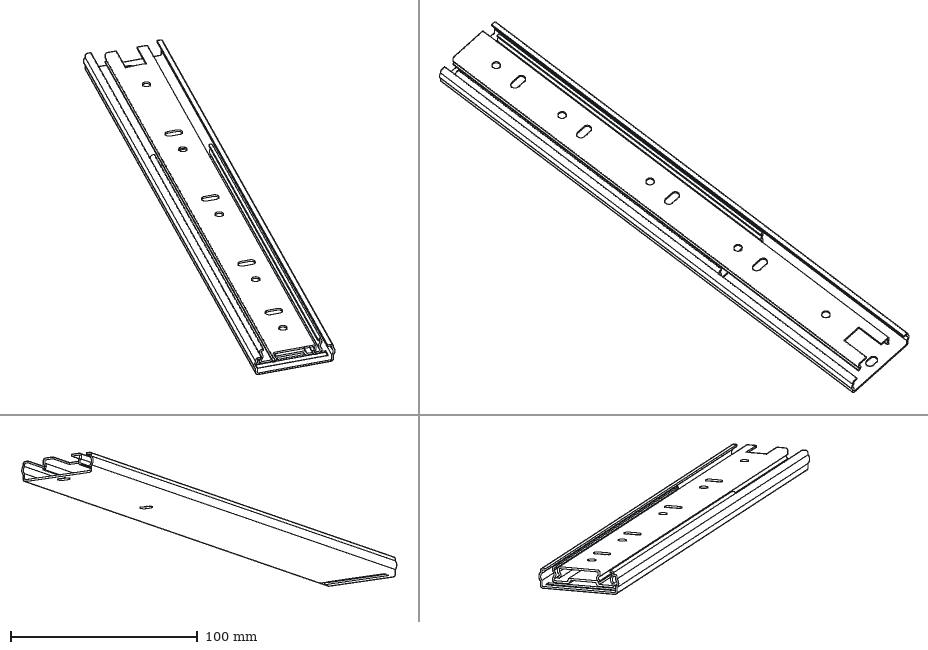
import cadquery as cq

LENGTH = 300.0
SHEET = 1.05
BEND = 1.5

OUTER_WIDTH = 43.8
OUTER_TOP = 11.0
OUTER_MOUTH = 37.2
OUTER_RACE_DEPTH = 1.0
OUTER_SLOT_X = (6.3, 87.5)
OUTER_SLOT_LENGTH = 7.2
WINDOW_START = 291.0
WINDOW_END = 295.5

MIDDLE_START = 101.5
MIDDLE_END = 293.0
MIDDLE_WIDTH = 35.0
MIDDLE_BOTTOM = 1.95
MIDDLE_MOUTH = 30.5
MIDDLE_RACE_DEPTH = 1.0
PLATEAU_WIDTH = 16.2
PLATEAU_FOOT_WIDTH = 18.5
PLATEAU_BOTTOM = 4.0
STOP_WIDTH = 15.5

INNER_START = 4.8
INNER_WIDTH = 24.3
INNER_RISE = 1.6
INNER_TOP = OUTER_TOP + INNER_RISE
INNER_BOTTOM = 6.3
INNER_RACE_Z = 8.0
INNER_RACE_CHORD = 3.5
INNER_RACE_DEPTH = 1.0
NOTCH_END = 21.0
NOTCH_WIDTH = 11.7
FIRST_HOLE_X = 39.5
LAST_PITCH = 48.0
SLOT_TO_HOLE = LAST_PITCH / 3
HOLE_PITCH = 4 * SLOT_TO_HOLE
HOLE_DIAMETER = 4.5
INNER_SLOT_LENGTH = 9.5

RACE_Z = INNER_TOP / 2
RACE_CHORD = 4.8


def box(x_range, y_range, z_range):
    """Block between the given limits along X, Y and Z."""
    size = [high - low for low, high in (x_range, y_range, z_range)]
    corner = (x_range[0], y_range[0], z_range[0])
    return cq.Workplane("XY").box(*size, centered=False).translate(corner)


def wide_box(x_range, width, z_range):
    """Block centred on the XZ plane."""
    return box(x_range, (-width / 2, width / 2), z_range)


def rod(x_range, y, z, radius):
    """Round bar along X."""
    start, end = x_range
    return cq.Workplane("YZ", origin=(start, y, z)).circle(radius).extrude(end - start)


def channel(x_range, width, bottom, top, mouth):
    """C-shaped rail: flat base, two walls and two lips turned in at the top."""
    inner_width = width - 2 * SHEET
    body = wide_box(x_range, width, (bottom, top)).edges("|X").fillet(BEND)
    cavity = wide_box(x_range, inner_width, (bottom + SHEET, top - SHEET)).edges("|X").fillet(BEND - SHEET)
    opening = wide_box(x_range, mouth, (top - 2 * SHEET, top))
    return body.cut(cavity).cut(opening)


def roll_race(rail, x_range, wall_face, z, chord, depth, outward):
    """Press a round ball race into both walls; wall_face is the outside of the flat wall.

    The chord is the height of the race where it leaves the wall."""
    half_chord = chord / 2
    crest_radius = (half_chord**2 + depth**2) / (2 * depth)
    if outward:
        convex_face = wall_face
        groove_face = wall_face - SHEET
        direction = 1
    else:
        convex_face = wall_face - SHEET
        groove_face = wall_face
        direction = -1
    axis = convex_face + direction * (depth - crest_radius)
    crest = convex_face + direction * depth
    side = sorted((groove_face, crest))
    for sign in (1, -1):
        y_range = sorted(sign * y for y in side)
        band = box(x_range, y_range, (z - half_chord, z + half_chord))
        rail = rail.union(rod(x_range, sign * axis, z, crest_radius).intersect(band))
        rail = rail.cut(rod(x_range, sign * axis, z, crest_radius - SHEET))
    return rail


def cross_slots(x_places, length, z_range):
    """Cutters for slots through a plate, lengthwise across the rail."""
    bottom, top = z_range
    sketch = cq.Workplane("XY", origin=(0, 0, bottom)).pushPoints([(x, 0) for x in x_places])
    return sketch.slot2D(length, HOLE_DIAMETER, 90).extrude(top - bottom)


def make_outer_rail():
    span = (0, LENGTH)
    rail = channel(span, OUTER_WIDTH, 0, OUTER_TOP, OUTER_MOUTH)
    rail = roll_race(rail, span, OUTER_WIDTH / 2, RACE_Z, RACE_CHORD, OUTER_RACE_DEPTH, outward=True)
    rail = rail.cut(cross_slots(OUTER_SLOT_X, OUTER_SLOT_LENGTH, (0, SHEET)))
    window = wide_box((WINDOW_START, WINDOW_END), OUTER_WIDTH - 2 * BEND, (0, SHEET))
    return rail.cut(window)


def make_middle_rail():
    span = (MIDDLE_START, MIDDLE_END)
    rail = channel(span, MIDDLE_WIDTH, MIDDLE_BOTTOM, OUTER_TOP, MIDDLE_MOUTH)
    rail = roll_race(rail, span, MIDDLE_WIDTH / 2, RACE_Z, RACE_CHORD, MIDDLE_RACE_DEPTH, outward=False)

    base_top = MIDDLE_BOTTOM + SHEET
    plateau_top = PLATEAU_BOTTOM + SHEET
    foot = PLATEAU_FOOT_WIDTH / 2
    crown = PLATEAU_WIDTH / 2
    rail = rail.cut(wide_box(span, PLATEAU_FOOT_WIDTH, (MIDDLE_BOTTOM, base_top)))
    hat = [
        (foot - SHEET, MIDDLE_BOTTOM),
        (foot, MIDDLE_BOTTOM),
        (foot, base_top),
        (crown, plateau_top),
        (-crown, plateau_top),
        (-foot, base_top),
        (-foot, MIDDLE_BOTTOM),
        (SHEET - foot, MIDDLE_BOTTOM),
        (SHEET - crown, PLATEAU_BOTTOM),
        (crown - SHEET, PLATEAU_BOTTOM),
    ]
    plateau = cq.Workplane("YZ", origin=(MIDDLE_START, 0, 0)).polyline(hat).close()
    rail = rail.union(plateau.extrude(MIDDLE_END - MIDDLE_START))

    stop_span = (MIDDLE_START, MIDDLE_START + SHEET)
    stop = wide_box(stop_span, STOP_WIDTH, (plateau_top, INNER_TOP - SHEET))
    return rail.union(stop)


def make_inner_rail():
    span = (INNER_START, LENGTH)
    plate_bottom = INNER_TOP - SHEET
    rail = wide_box(span, INNER_WIDTH, (INNER_BOTTOM, INNER_TOP)).edges("|X and >Z").fillet(BEND)
    cavity = wide_box(span, INNER_WIDTH - 2 * SHEET, (INNER_BOTTOM, plate_bottom))
    rail = rail.cut(cavity.edges("|X and >Z").fillet(BEND - SHEET))
    wall_face = INNER_WIDTH / 2
    rail = roll_race(rail, span, wall_face, INNER_RACE_Z, INNER_RACE_CHORD, INNER_RACE_DEPTH, outward=False)

    rail = rail.cut(wide_box((INNER_START, NOTCH_END), NOTCH_WIDTH, (plate_bottom, INNER_TOP)))

    holes_x = [FIRST_HOLE_X + i * HOLE_PITCH for i in range(4)]
    holes_x.append(holes_x[-1] + LAST_PITCH)
    holes = cq.Workplane("XY", origin=(0, 0, plate_bottom)).pushPoints([(x, 0) for x in holes_x])
    rail = rail.cut(holes.circle(HOLE_DIAMETER / 2).extrude(SHEET))
    slots_x = [x - SLOT_TO_HOLE for x in holes_x[1:]]
    return rail.cut(cross_slots(slots_x, INNER_SLOT_LENGTH, (plate_bottom, INNER_TOP)))


outer_rail = make_outer_rail()
middle_rail = make_middle_rail()
inner_rail = make_inner_rail()

result = cq.Compound.makeCompound([outer_rail.val(), middle_rail.val(), inner_rail.val()])